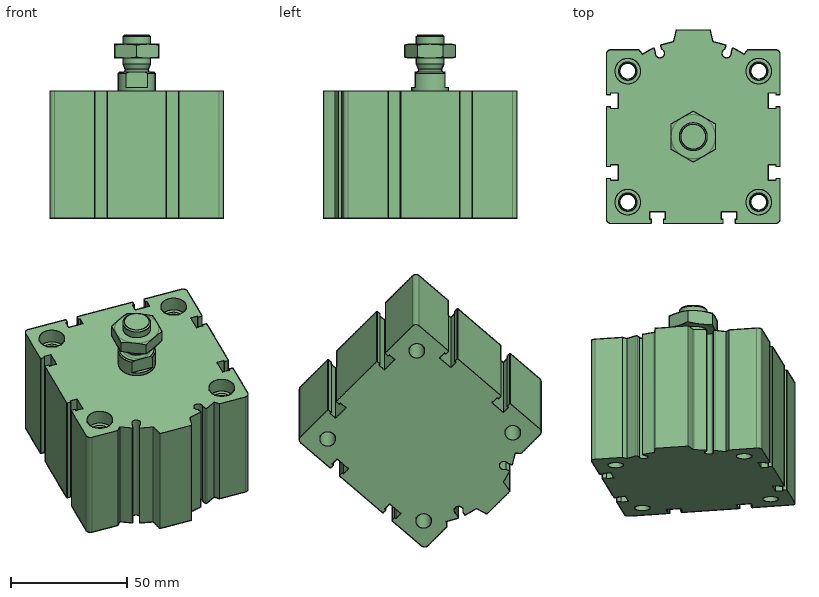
import cadquery as cq
import math

HALF_SIDE = 37.5
HOUSING_HEIGHT = 54.95
CORNER_RADIUS = 2.0

TAB_TOP_Y = 46.0
TAB_TOP_HALF_WIDTH = 7.35
TAB_ROOT_X = 8.5
TAB_ROOT_Y = 41.0
SHOULDER_SLOPE = 15
SHOULDER_END_X = 16.0
NOTCH_X = 21.9
NOTCH_Y = 35.6
NOTCH_OUTER_X = 23.5
CROWN_FILLET = 0.4

SENSOR_SLOT_X = 14.4
SENSOR_SLOT_Y = 35.9
SENSOR_SLOT_DIAMETER = 3.8
SENSOR_MOUTH_WIDTH = 2.9
SENSOR_MOUTH_LENGTH = 5.0
SENSOR_SLOT_TILT = 17
SENSOR_MOUTH_OFFSET = 0.25
FLANK_TIP_X = 16.9
FLANK_TIP_Y = 38.5

T_SLOT_OFFSET = 15.45
T_MOUTH_WIDTH = 5.1
T_INNER_WIDTH = 6.6
T_SLOT_DEPTH = 5.1
T_LIP_THICKNESS = 1.9
T_MOUTH_CHAMFER = 0.25

HOLE_OFFSET = 28.2
HOLE_DIAMETER = 6.8
HOLE_CHAMFER = 0.6
COUNTERBORE_DIAMETER = 11.0
COUNTERBORE_DEPTH = 6.8

COLLAR_DIAMETER = 16.0
COLLAR_HEIGHT = 8.1
COLLAR_CHAMFER = 0.6
FLATS_ACROSS = 13.0
FLATS_BOTTOM = 1.5
NECK_DIAMETER = 10.2
NECK_FILLET = 0.8
NECK_TOP = 9.4
THREAD_DIAMETER = 12.0
THREAD_START = 11.6
THREAD_CHAMFER = 0.7
ROD_HEIGHT = 24.05

NUT_ACROSS_FLATS = 19.0
NUT_BOTTOM = 14.2
NUT_HEIGHT = 5.9
NUT_CHAMFER_ANGLE = 15
HEX_HALF_SECTOR = 30


def round_corner(solid, x, y, radius):
    """Fillet the upright edges nearest to (x, y) and to its mirror image (-x, y)."""
    for side in (1, -1):
        edge = cq.selectors.NearestToPointSelector((side * x, y, HOUSING_HEIGHT / 2))
        solid = solid.edges("|Z").edges(edge).fillet(radius)
    return solid


def housing_blank():
    """Extruded outline with rounded corners, before any slot or hole."""
    shoulder_fall = (SHOULDER_END_X - TAB_ROOT_X) * math.tan(math.radians(SHOULDER_SLOPE))
    tab_top = (TAB_TOP_HALF_WIDTH, TAB_TOP_Y)
    tab_root = (TAB_ROOT_X, TAB_ROOT_Y)
    right_half = [
        (HALF_SIDE, -HALF_SIDE),
        (HALF_SIDE, HALF_SIDE),
        (NOTCH_OUTER_X, HALF_SIDE),
        (NOTCH_X, NOTCH_Y),
        (SHOULDER_END_X, TAB_ROOT_Y - shoulder_fall),
        tab_root,
        tab_top,
    ]
    left_half = [(-x, y) for x, y in reversed(right_half)]
    blank = cq.Workplane("XY").polyline(right_half + left_half).close().extrude(HOUSING_HEIGHT)

    for y in (HALF_SIDE, -HALF_SIDE):
        blank = round_corner(blank, HALF_SIDE, y, CORNER_RADIUS)
    for x, y in (tab_top, tab_root):
        blank = round_corner(blank, x, y, CROWN_FILLET)
    return blank


def sensor_slots():
    """Pair of tilted keyhole slots that open through the crown shoulders."""
    mouth = (
        cq.Workplane("XY")
        .center(SENSOR_MOUTH_OFFSET, SENSOR_MOUTH_LENGTH / 2)
        .rect(SENSOR_MOUTH_WIDTH, SENSOR_MOUTH_LENGTH)
        .extrude(HOUSING_HEIGHT)
    )
    slot = (
        cq.Workplane("XY")
        .circle(SENSOR_SLOT_DIAMETER / 2)
        .extrude(HOUSING_HEIGHT)
        .union(mouth)
        .rotate((0, 0, 0), (0, 0, 1), -SENSOR_SLOT_TILT)
        .translate((SENSOR_SLOT_X, SENSOR_SLOT_Y, 0))
    )
    return slot.union(slot.mirror("YZ"))


def t_slots():
    """Two T-slots in each of the -X, -Y and +X sides."""
    half_mouth = T_MOUTH_WIDTH / 2
    half_inner = T_INNER_WIDTH / 2
    lip_y = T_LIP_THICKNESS - HALF_SIDE
    right_half = [
        (half_mouth + T_MOUTH_CHAMFER, -HALF_SIDE),
        (half_mouth, T_MOUTH_CHAMFER - HALF_SIDE),
        (half_mouth, lip_y),
        (half_inner, lip_y),
        (half_inner, T_SLOT_DEPTH - HALF_SIDE),
    ]
    left_half = [(-x, y) for x, y in reversed(right_half)]
    slot = cq.Workplane("XY").polyline(right_half + left_half).close().extrude(HOUSING_HEIGHT)
    pair = slot.translate((T_SLOT_OFFSET, 0, 0)).union(slot.translate((-T_SLOT_OFFSET, 0, 0)))
    slots = pair
    for angle in (90, -90):
        slots = slots.union(pair.rotate((0, 0, 0), (0, 0, 1), angle))
    return slots


def mounting_holes():
    """Stepped cutters for the four corner holes, counterbored from the top."""
    hole_radius = HOLE_DIAMETER / 2
    floor_z = HOUSING_HEIGHT - COUNTERBORE_DEPTH
    profile = [
        (0, 0),
        (hole_radius, 0),
        (hole_radius, floor_z - HOLE_CHAMFER),
        (hole_radius + HOLE_CHAMFER, floor_z),
        (COUNTERBORE_DIAMETER / 2, floor_z),
        (COUNTERBORE_DIAMETER / 2, HOUSING_HEIGHT),
        (0, HOUSING_HEIGHT),
    ]
    cutter = cq.Workplane("XZ").polyline(profile).close().revolve(360, (0, 0), (0, 1)).val()
    spacing = 2 * HOLE_OFFSET
    return cq.Workplane("XY").rarray(spacing, spacing, 2, 2).eachpoint(cutter.moved)


def make_housing():
    housing = housing_blank().cut(sensor_slots())
    housing = round_corner(housing, FLANK_TIP_X, FLANK_TIP_Y, CROWN_FILLET)
    return housing.cut(t_slots()).cut(mounting_holes())


def make_rod():
    """Turned rod standing on the housing, with two wrench flats facing -Y and +Y."""
    collar_radius = COLLAR_DIAMETER / 2
    neck_radius = NECK_DIAMETER / 2
    thread_radius = THREAD_DIAMETER / 2
    fillet_middle = NECK_FILLET * (1 - math.sqrt(0.5))
    turned = (
        cq.Workplane("XZ")
        .lineTo(collar_radius, 0)
        .lineTo(collar_radius, COLLAR_HEIGHT - COLLAR_CHAMFER)
        .lineTo(collar_radius - COLLAR_CHAMFER, COLLAR_HEIGHT)
        .lineTo(neck_radius + NECK_FILLET, COLLAR_HEIGHT)
        .threePointArc(
            (neck_radius + fillet_middle, COLLAR_HEIGHT + fillet_middle),
            (neck_radius, COLLAR_HEIGHT + NECK_FILLET),
        )
        .lineTo(neck_radius, NECK_TOP)
        .lineTo(thread_radius, THREAD_START)
        .lineTo(thread_radius, ROD_HEIGHT - THREAD_CHAMFER)
        .lineTo(thread_radius - THREAD_CHAMFER, ROD_HEIGHT)
        .lineTo(0, ROD_HEIGHT)
        .close()
        .revolve(360, (0, 0), (0, 1))
    )
    flats_height = COLLAR_HEIGHT - FLATS_BOTTOM
    outside_flats = (
        cq.Workplane("XY", origin=(0, 0, FLATS_BOTTOM))
        .rect(2 * COLLAR_DIAMETER, 2 * COLLAR_DIAMETER)
        .rect(2 * COLLAR_DIAMETER, FLATS_ACROSS)
        .extrude(flats_height)
    )
    return turned.cut(outside_flats).translate((0, 0, HOUSING_HEIGHT))


def make_nut():
    """Hexagonal nut with both ends turned to a cone; two flats face -X and +X."""
    flat_radius = NUT_ACROSS_FLATS / 2
    corner_radius = flat_radius / math.cos(math.radians(HEX_HALF_SECTOR))
    cone_height = (corner_radius - flat_radius) * math.tan(math.radians(NUT_CHAMFER_ANGLE))
    hexagon = (
        cq.Workplane("XY")
        .polygon(6, 2 * corner_radius)
        .extrude(NUT_HEIGHT)
        .rotate((0, 0, 0), (0, 0, 1), HEX_HALF_SECTOR)
    )
    envelope_profile = [
        (0, 0),
        (flat_radius, 0),
        (corner_radius, cone_height),
        (corner_radius, NUT_HEIGHT - cone_height),
        (flat_radius, NUT_HEIGHT),
        (0, NUT_HEIGHT),
    ]
    envelope = cq.Workplane("XZ").polyline(envelope_profile).close().revolve(360, (0, 0), (0, 1))
    bore = cq.Workplane("XY").circle(THREAD_DIAMETER / 2).extrude(NUT_HEIGHT)
    nut = hexagon.intersect(envelope).cut(bore)
    return nut.translate((0, 0, HOUSING_HEIGHT + NUT_BOTTOM))


housing = make_housing()
rod = make_rod()
nut = make_nut()

result = cq.Compound.makeCompound([housing.val(), rod.val(), nut.val()])